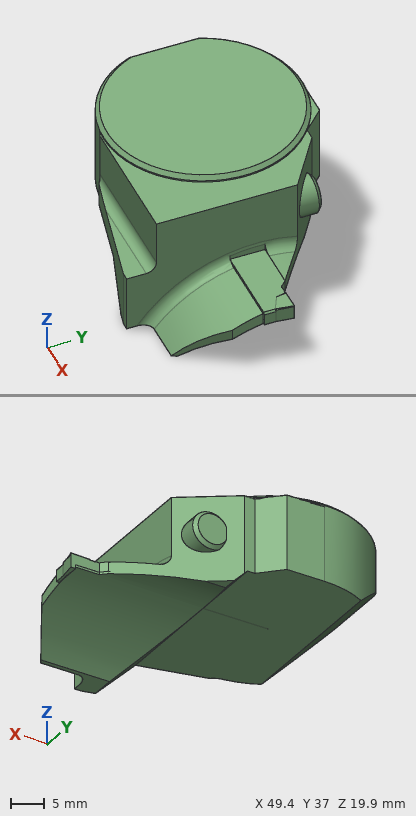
import cadquery as cq
import math

disc_radius = 16.0
disc_top = 13.75
rim_chamfer = 0.65
flat_x = -15.0
nose_slope_height = 7.5

plate_top = 12.9
wall_x = 20.75
front_wall_y = -16.25
ledge_top = 3.7
ledge_tip_y = -21.0
fillet_radius = 1.65
ledge_tip_x = 19.55
blend_start_x = -2.15
blend_middle = (-1.1, -16.1)
blend_end = (-0.1, -16.7)

rear_corner_x = 6.5
shoulder_y = 12.55
shoulder_start_x = rear_corner_x + disc_radius - shoulder_y
shoulder_end_x = 11.8

leg_bottom = -6.1
leg_bottom_x = 17.35
heel_y = 9.3
heel_bottom = -1.8
underside_radius = 25.35

blade_end_x = 33.5
blade_crown = 2.0
blade_radius = 22.45
blade_corner_y = -9.4
blade_toe_x = 28.85

boss_radius = 3.15
boss_right_x = 19.5
boss_end_y = 11.05
boss_z = 6.4
boss_chamfer = 0.6

insert_start_x = 20.85
insert_front_y = -4.5
insert_rear_y = 1.2
insert_bend_x = 28.45
edge_y = 0.2
edge_start_x = insert_bend_x + insert_rear_y - edge_y
insert_end_x = 34.0
corner_x = 34.35
insert_seat = 0.4
insert_top = blade_crown
insert_tip_bottom = -0.25
end_bevel = 0.3
rake_rise = 0.2
rake_start_x = 31.05
rake_hinge_start = (31.3, -1.4)
rake_hinge_y = -2.6

rear_slope = (insert_rear_y - shoulder_y) / (insert_bend_x - shoulder_end_x)
rear_wall_y = shoulder_y + rear_slope * (wall_x - shoulder_end_x)
insert_outline = [
    (insert_start_x, insert_front_y),
    (insert_start_x, insert_rear_y),
    (insert_bend_x, insert_rear_y),
    (edge_start_x, edge_y),
    (corner_x, edge_y),
    (insert_end_x, rake_hinge_y),
    (insert_end_x, insert_front_y),
]

margin = 2.45


def block(x0, x1, y0, y1, z0, z1):
    """Box given by its limits on each axis."""
    return cq.Workplane("XY").box(x1 - x0, y1 - y0, z1 - z0, centered=False).translate((x0, y0, z0))


def prism(points, z0, z1):
    """Vertical prism over a polygon."""
    return cq.Workplane("XY").workplane(offset=z0).polyline(points).close().extrude(z1 - z0)


def make_disc():
    """Round head with one flat and a chamfered rim."""
    disc = cq.Workplane("XY").circle(disc_radius).extrude(disc_top)
    disc = disc.intersect(
        block(flat_x, disc_radius + margin, -disc_radius, disc_radius, 0, disc_top)
    )
    return disc.faces(">Z").chamfer(rim_chamfer)


def make_plate(z0, z1):
    """Plate beside the disc, including the tapered ledge."""
    blend_start_y = -math.sqrt(disc_radius**2 - blend_start_x**2)
    return (
        cq.Workplane("XY").workplane(offset=z0)
        .moveTo(0, disc_radius)
        .lineTo(rear_corner_x, disc_radius)
        .lineTo(shoulder_start_x, shoulder_y)
        .lineTo(shoulder_end_x, shoulder_y)
        .lineTo(wall_x, rear_wall_y)
        .lineTo(wall_x, ledge_tip_y)
        .lineTo(ledge_tip_x, ledge_tip_y)
        .lineTo(*blend_end)
        .threePointArc(blend_middle, (blend_start_x, blend_start_y))
        .lineTo(0, 0)
        .close()
        .extrude(z1 - z0)
    )


def ledge_cutter():
    """Space above the ledge, with the fillet at its inner corner."""
    outer_y = ledge_tip_y - margin
    top = plate_top + margin
    return (
        cq.Workplane("YZ").workplane(offset=-margin)
        .moveTo(outer_y, ledge_top)
        .lineTo(front_wall_y - fillet_radius, ledge_top)
        .radiusArc((front_wall_y, ledge_top + fillet_radius), -fillet_radius)
        .lineTo(front_wall_y, top)
        .lineTo(outer_y, top)
        .close()
        .extrude(wall_x + 2 * margin)
    )


def nose_cutter():
    """45 degree wedge removed below the flat."""
    return (
        cq.Workplane("XZ")
        .moveTo(flat_x - margin, nose_slope_height + margin)
        .lineTo(flat_x + nose_slope_height + margin, -margin)
        .lineTo(flat_x - margin, -margin)
        .close()
        .extrude(disc_radius + margin, both=True)
    )


def make_leg():
    """Lower part of the head, with a 45 degree face toward the disc."""
    side = (
        cq.Workplane("XZ")
        .moveTo(leg_bottom_x + leg_bottom, 0)
        .lineTo(leg_bottom_x, leg_bottom)
        .lineTo(wall_x, leg_bottom)
        .lineTo(wall_x, 0)
        .close()
        .extrude(-ledge_tip_y + margin, both=True)
    )
    return side.intersect(make_plate(leg_bottom, 0))


def make_blade():
    """Curved blade that flares into the end face through a fillet."""
    inner_x = wall_x - margin
    axis_z = blade_crown - blade_radius
    fillet_rim = blade_radius + fillet_radius
    ring = (
        cq.Workplane("XY")
        .moveTo(inner_x, 0)
        .lineTo(inner_x, fillet_rim)
        .lineTo(wall_x, fillet_rim)
        .radiusArc((wall_x + fillet_radius, blade_radius), -fillet_radius)
        .lineTo(corner_x, blade_radius)
        .lineTo(corner_x, 0)
        .close()
        .revolve(360, (0, 0, 0), (1, 0, 0))
        .translate((0, 0, axis_z))
    )
    rim_y = -math.sqrt(fillet_rim**2 - (leg_bottom - axis_z) ** 2)
    toe_y = -math.sqrt(blade_radius**2 - (leg_bottom - axis_z) ** 2)
    outline = [
        (wall_x, rear_wall_y),
        (insert_bend_x, insert_rear_y),
        (edge_start_x, edge_y),
        (blade_end_x, edge_y),
        (blade_end_x, blade_corner_y),
        (blade_toe_x, toe_y),
        (blade_toe_x, rim_y),
        (wall_x, rim_y),
    ]
    return ring.intersect(prism(outline, leg_bottom, blade_crown + fillet_radius))


def underside_cutter():
    """Arched space under the leg and blade, level below the heel."""
    floor = leg_bottom - margin
    toe_y = -math.sqrt(underside_radius**2 - (underside_radius + leg_bottom) ** 2)
    return (
        cq.Workplane("YZ")
        .moveTo(toe_y, leg_bottom)
        .threePointArc((0, 0), (heel_y, heel_bottom))
        .lineTo(disc_radius, heel_bottom)
        .lineTo(disc_radius, floor)
        .lineTo(toe_y, floor)
        .close()
        .extrude(corner_x)
    )


def make_boss():
    """Cylinder along Y with a chamfered outer end."""
    boss = cq.Workplane("XZ").circle(boss_radius).extrude(-boss_end_y)
    boss = boss.faces(">Y").chamfer(boss_chamfer)
    return boss.translate((boss_right_x - boss_radius, 0, boss_z))


def make_holder():
    """Head, leg, blade and boss, with an open seat for the insert."""
    head = make_disc().union(make_plate(0, plate_top))
    head = head.cut(nose_cutter()).cut(ledge_cutter())
    body = head.union(make_leg()).union(make_blade()).union(make_boss())
    seat = prism(insert_outline, insert_seat, blade_crown + fillet_radius)
    return body.cut(underside_cutter()).cut(seat)


def make_rake_facet():
    """Facet rising from its hinge line to the cutting corner."""
    hinge_end = (insert_end_x - end_bevel, rake_hinge_y)
    corner = (corner_x, edge_y)
    along = (hinge_end[0] - rake_hinge_start[0], hinge_end[1] - rake_hinge_start[1])
    length = math.hypot(*along)
    across = (-along[1] / length, along[0] / length)
    reach = sum((corner[i] - rake_hinge_start[i]) * across[i] for i in range(2))
    hinge_plane = cq.Plane(
        origin=(*rake_hinge_start, insert_top), xDir=(*across, 0), normal=(along[0], along[1], 0)
    )
    wedge = (
        cq.Workplane(hinge_plane)
        .polyline([(0, 0), (reach, 0), (reach, rake_rise)])
        .close()
        .extrude(2 * length, both=True)
    )
    outline = [(rake_start_x, edge_y), rake_hinge_start, hinge_end, corner]
    return wedge.intersect(prism(outline, insert_top, insert_top + rake_rise))


def make_insert():
    """Cutting insert with a deep overhanging tip and a bevelled end."""
    blank = prism(insert_outline, insert_seat, insert_top)
    tip = prism(insert_outline, insert_tip_bottom, insert_top).intersect(
        block(blade_end_x, corner_x, insert_front_y, edge_y, insert_tip_bottom, insert_top)
    )
    bevel = (
        cq.Workplane("XZ").workplane(offset=-rake_hinge_y)
        .moveTo(insert_end_x - end_bevel, insert_top)
        .lineTo(insert_end_x, insert_top)
        .lineTo(insert_end_x, insert_top - end_bevel)
        .close()
        .extrude(rake_hinge_y - insert_front_y)
    )
    return blank.union(tip).cut(bevel).union(make_rake_facet())


holder = make_holder()
insert = make_insert()
result = cq.Compound.makeCompound([holder.solids().val(), insert.solids().val()])